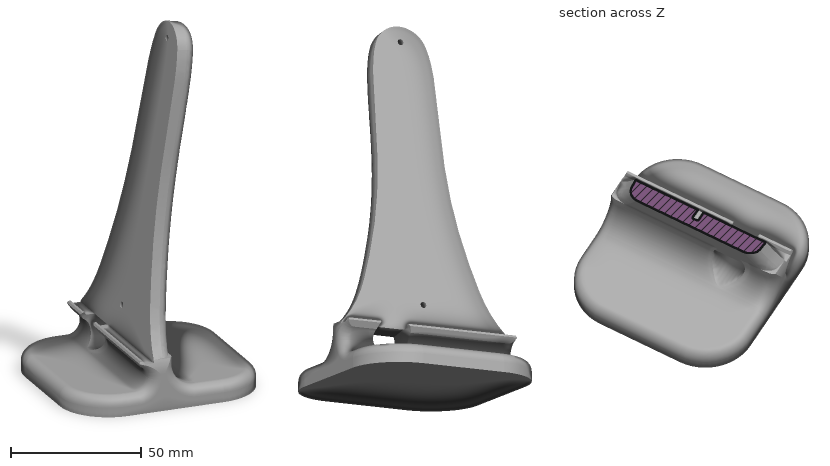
import cadquery as cq
import math

base_width = 75.0
base_depth = 80.0
base_height = 8.0
corner_radius = 20.0
edge_radius = base_height / 2

stem_back_y = -0.6
stem_front_y = -10.2
stem_top_z = 20.8
shoulder_start_z = 15.4
shoulder_half_width = 36.2
back_cove_radius = 9.9
front_cove_radius = 5.0

ledge_z = 19.7
ledge_back_y = -8.9
lip_foot_y = -12.4
lip_crest_y = -13.2
lip_tip_y = -14.7
lip_top_z = 21.0
lip_round = 0.9
undercut_radius = 5.2
undercut_start_z = base_height + front_cove_radius
undercut_angle = 65.0

lean = math.radians(10)
plate_thickness = 8.0
part_height = 143.8
crown_radius = 11.5
crown_half_width = 10.8

cable_x = -16.2
cable_front_z = 15.8
cable_back_z = 15.1
cable_front_radius = 7.8
cable_back_radius = 6.8
cable_front_y = -15.2
cable_back_y = 10.0

pin_diameter = 2.5
pin_depth = 4.3
pin_heights = (30.8, 137.5)

back_y = base_depth / 2
front_y = -base_depth / 2
block_top_z = 28.8

undercut_centre_y = stem_front_y - undercut_radius


def undercut_point(angle_degrees):
    """Point (y, z) on the undercut arc, measured from its vertical start."""
    angle = math.radians(angle_degrees)
    return (
        undercut_centre_y + undercut_radius * math.cos(angle),
        undercut_start_z + undercut_radius * math.sin(angle),
    )


def side_outline():
    """Base, coves and undercut in the YZ plane, open at the end of the undercut."""
    back_cove_y = stem_back_y + back_cove_radius
    front_cove_y = stem_front_y - front_cove_radius
    diagonal = math.sqrt(0.5)
    back_cove_z = base_height + back_cove_radius
    return (
        cq.Workplane("YZ", origin=(-base_width / 2, 0, 0))
        .moveTo(stem_back_y, back_cove_z)
        .threePointArc(
            (back_cove_y - back_cove_radius * diagonal, back_cove_z - back_cove_radius * diagonal),
            (back_cove_y, base_height),
        )
        .lineTo(back_y, base_height)
        .lineTo(back_y, 0)
        .lineTo(front_y, 0)
        .lineTo(front_y, base_height)
        .lineTo(front_cove_y, base_height)
        .threePointArc(
            (front_cove_y + front_cove_radius * diagonal, undercut_start_z - front_cove_radius * diagonal),
            (stem_front_y, undercut_start_z),
        )
        .threePointArc(undercut_point(undercut_angle / 2), undercut_point(undercut_angle))
    )


def rounded_block():
    """Base and stem with rounded rims; the stem runs on upwards past the ledge."""
    end_y, end_z = undercut_point(undercut_angle)
    rise = block_top_z - end_z
    slope = math.tan(math.radians(undercut_angle))
    block = (
        side_outline()
        .lineTo(end_y - rise * slope, block_top_z)
        .lineTo(stem_back_y, block_top_z)
        .close()
        .extrude(base_width)
    )
    corners = block.edges("|Z").edges("<Y or >Y")
    block = corners.fillet(corner_radius)
    back_rim = cq.selectors.NearestToPointSelector((0, back_y, base_height))
    front_rim = cq.selectors.NearestToPointSelector((0, front_y, base_height))
    return block.edges(back_rim + front_rim).fillet(edge_radius)


def trimmed_shape():
    """Full side section with the ledge, the lip and the top of the stem."""
    return (
        side_outline()
        .lineTo(lip_tip_y, lip_top_z - lip_round)
        .lineTo(lip_tip_y + lip_round / 2, lip_top_z)
        .lineTo(lip_crest_y, lip_top_z)
        .lineTo(lip_foot_y, ledge_z)
        .lineTo(ledge_back_y, ledge_z)
        .lineTo(ledge_back_y + (stem_top_z - ledge_z) * math.tan(lean), stem_top_z)
        .lineTo(stem_back_y, stem_top_z)
        .close()
        .extrude(base_width)
    )


def shoulder_shape():
    """Front outline whose sides curve inwards from the stem to the plate foot."""
    half_width = base_width / 2
    inset = half_width - shoulder_half_width
    rise = stem_top_z - shoulder_start_z
    radius = (inset**2 + rise**2) / (2 * inset)
    half_angle = math.asin(rise / radius) / 2
    mid_x = half_width - radius * (1 - math.cos(half_angle))
    mid_z = shoulder_start_z + radius * math.sin(half_angle)
    return (
        cq.Workplane("XZ")
        .moveTo(-half_width, 0)
        .lineTo(half_width, 0)
        .lineTo(half_width, shoulder_start_z)
        .threePointArc((mid_x, mid_z), (shoulder_half_width, stem_top_z))
        .lineTo(shoulder_half_width, lip_top_z)
        .lineTo(-shoulder_half_width, lip_top_z)
        .lineTo(-shoulder_half_width, stem_top_z)
        .threePointArc((-mid_x, mid_z), (-half_width, shoulder_start_z))
        .close()
        .extrude(base_depth / 2, both=True)
    )


def cable_opening():
    start = cq.Vector(cable_x, cable_front_y, cable_front_z)
    axis = cq.Vector(cable_x, cable_back_y, cable_back_z) - start
    cone = cq.Solid.makeCone(
        cable_front_radius,
        cable_back_radius,
        axis.Length,
        pnt=start,
        dir=axis,
    )
    return cq.Workplane(cone)


plate_plane = cq.Plane(
    origin=(0, ledge_back_y, ledge_z),
    xDir=(1, 0, 0),
    normal=(0, -math.cos(lean), math.sin(lean)),
)


def along_plate(z):
    """Distance up the plate face of a point at height z."""
    return (z - ledge_z) / math.cos(lean)


def plate():
    crown_top = along_plate(part_height)
    crown_drop = math.sqrt(crown_radius**2 - crown_half_width**2)
    crown_side = crown_top - crown_radius + crown_drop
    flare = [
        (13.5, 118.6),
        (14.4, 91.2),
        (17.4, 66.4),
        (23.1, 44.4),
        (28.6, 30.8),
        (shoulder_half_width, stem_top_z),
    ]
    right = [(crown_half_width, crown_side)] + [(x, along_plate(z)) for x, z in flare]
    crown_tangent = (crown_drop, -crown_half_width)
    foot_tangent = (1, -1)
    crown_mid_angle = math.atan2(crown_drop, crown_half_width) / 2 + math.pi / 4
    crown_mid = (
        crown_radius * math.cos(crown_mid_angle),
        crown_top - crown_radius + crown_radius * math.sin(crown_mid_angle),
    )
    body = (
        cq.Workplane(plate_plane)
        .moveTo(0, crown_top)
        .threePointArc(crown_mid, right[0])
        .spline(right[1:], tangents=[crown_tangent, foot_tangent], includeCurrent=True)
        .lineTo(shoulder_half_width, 0)
        .lineTo(0, 0)
        .mirrorY()
        .extrude(-plate_thickness)
    )
    back_face = body.faces(cq.selectors.DirectionMinMaxSelector(-plate_plane.zDir, True))
    foot_clearance = 1.5
    above_foot = cq.selectors.BoxSelector(
        (-base_width, front_y, ledge_z + foot_clearance), (base_width, back_y, part_height)
    )
    return back_face.edges(above_foot).fillet(edge_radius)


def pin_holes():
    centres = [(0, along_plate(z)) for z in pin_heights]
    return (
        cq.Workplane(plate_plane)
        .pushPoints(centres)
        .circle(pin_diameter / 2)
        .extrude(-pin_depth)
    )


stand = rounded_block().intersect(trimmed_shape()).intersect(shoulder_shape())
stand = stand.cut(cable_opening())
result = stand.union(plate()).cut(pin_holes())